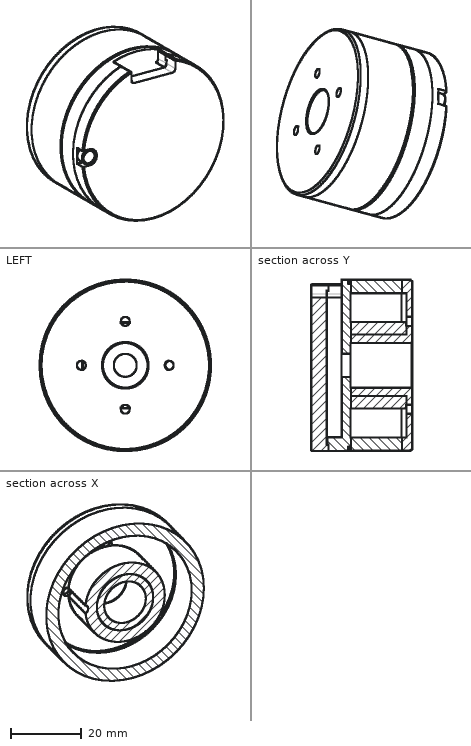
import cadquery as cq


outer_radius = 24.5
cap_end = 3.05
sleeve_end = 17.65
housing_shoulder = 18.3
housing_wall_end = 20.2
housing_end = 24.0
cover_inner_face = 24.5
cover_end = 28.9

cap_plate_thickness = 1.7
cap_edge_chamfer = 0.6
bore_radius = 6.35
bore_chamfer = 0.3
collar_radius = 8.8
cap_hole_radius = 1.25
cap_hole_circle_radius = 12.55
cap_hole_count = 4

inner_radius = 20.6
groove_floor_radius = 23.3
spigot_radius = 22.7
spigot_end = 24.35
housing_bore_radius = 3.3
cover_edge_chamfer = 0.35

core_radius = 12.4
core_chamfer = 0.25
core_groove_offset = 12.75

notch_half_width = 7.55
notch_floor_height = 19.4
notch_corner_radius = 1.05
notch_flare = 0.35

screw_seat = 25.95
screw_head_radius = 2.25
screw_head_height = 2.6
screw_head_chamfer = 0.35
screw_circle_radius = 22.05
screw_slot_half_width = 2.45


def disc(radius, start, end):
    """Solid cylinder about the X axis between two stations."""
    return cq.Workplane("YZ").workplane(offset=start).circle(radius).extrude(end - start)


def make_notch_cutter():
    """Flat-bottomed channel along X with rounded floor corners and flared top edges."""
    length = cover_end - housing_wall_end
    channel = (
        cq.Workplane("YZ")
        .workplane(offset=housing_wall_end)
        .center(0, (notch_floor_height + outer_radius) / 2)
        .rect(2 * notch_half_width, outer_radius - notch_floor_height)
        .extrude(length)
        .edges("|X and <Z")
        .fillet(notch_corner_radius)
    )
    flare_half_width = notch_half_width + notch_flare
    flare_height = (outer_radius**2 - flare_half_width**2) ** 0.5
    flare_bottom = flare_height - notch_flare
    flare_rise = outer_radius - flare_bottom
    flare = (
        cq.Workplane("YZ")
        .workplane(offset=housing_wall_end)
        .moveTo(-notch_half_width, flare_bottom)
        .lineTo(notch_half_width, flare_bottom)
        .lineTo(notch_half_width + flare_rise, outer_radius)
        .lineTo(-notch_half_width - flare_rise, outer_radius)
        .close()
        .extrude(length)
    )
    return channel.union(flare)


def make_cap():
    """Front plate with a rim, a bored collar and a circle of holes through the plate."""
    cap = disc(outer_radius, 0, cap_end).faces("<X").edges().chamfer(cap_edge_chamfer)
    cap = cap.cut(disc(inner_radius, cap_plate_thickness, cap_end))
    cap = cap.union(disc(collar_radius, 0, sleeve_end))
    cap = cap.cut(disc(bore_radius, 0, sleeve_end))
    cap = cap.faces("<X").edges(cq.selectors.RadiusNthSelector(0)).chamfer(bore_chamfer)
    holes = (
        cq.Workplane("YZ")
        .polarArray(cap_hole_circle_radius, 0, 360, cap_hole_count)
        .circle(cap_hole_radius)
        .extrude(cap_plate_thickness)
    )
    return cap.cut(holes)


def make_sleeve():
    """Plain ring between the cap and the housing."""
    return disc(outer_radius, cap_end, sleeve_end).cut(disc(inner_radius, cap_end, sleeve_end))


def make_core():
    """Tubular core around the collar of the cap, with one rounded groove along its side."""
    core = disc(core_radius, cap_plate_thickness, sleeve_end).faces("<X").edges().chamfer(core_chamfer)
    core = core.cut(disc(collar_radius, cap_plate_thickness, sleeve_end))
    groove = (
        cq.Workplane("YZ")
        .workplane(offset=cap_plate_thickness)
        .center(-core_groove_offset, 0)
        .circle(cap_hole_radius)
        .extrude(sleeve_end - cap_plate_thickness)
    )
    return core.cut(groove)


def make_housing(notch):
    """Cup with a stepped closed end that leaves the groove next to the sleeve, and a spigot."""
    housing = disc(groove_floor_radius, sleeve_end, housing_shoulder)
    housing = housing.union(disc(outer_radius, housing_shoulder, housing_end))
    housing = housing.union(disc(spigot_radius, housing_end, spigot_end))
    housing = housing.cut(disc(inner_radius, housing_wall_end, spigot_end))
    housing = housing.cut(disc(housing_bore_radius, sleeve_end, housing_wall_end))
    return housing.cut(notch)


def make_cover(notch):
    """Rear disc with a shallow recess for the spigot, the notch and the screw slot."""
    cover = disc(outer_radius, housing_end, cover_end).faces(">X").edges().chamfer(cover_edge_chamfer)
    cover = cover.cut(disc(spigot_radius, housing_end, cover_inner_face))
    slot_depth = cover_end - screw_seat
    slot_end = (
        cq.Workplane("YZ")
        .workplane(offset=screw_seat)
        .center(-screw_circle_radius, 0)
        .circle(screw_slot_half_width)
        .extrude(slot_depth)
    )
    slot_mouth = (
        cq.Workplane("XY")
        .box(
            slot_depth,
            outer_radius - screw_circle_radius,
            2 * screw_slot_half_width,
            centered=(False, False, True),
        )
        .translate((screw_seat, -outer_radius, 0))
    )
    return cover.cut(notch).cut(slot_end).cut(slot_mouth)


def make_screw_head():
    """Cylindrical screw head standing on the floor of the slot."""
    return (
        cq.Workplane("YZ")
        .workplane(offset=screw_seat)
        .center(-screw_circle_radius, 0)
        .circle(screw_head_radius)
        .extrude(screw_head_height)
        .faces(">X")
        .edges()
        .chamfer(screw_head_chamfer)
    )


notch_cutter = make_notch_cutter()
cap = make_cap()
sleeve = make_sleeve()
core = make_core()
housing = make_housing(notch_cutter)
cover = make_cover(notch_cutter)
screw_head = make_screw_head()

result = cq.Compound.makeCompound(
    [
        cap.val(),
        sleeve.val(),
        core.val(),
        housing.val(),
        cover.val(),
        screw_head.val(),
    ]
)